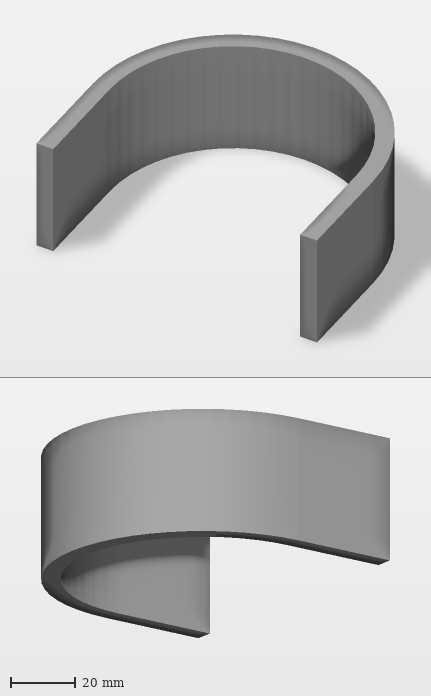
import cadquery as cq

outer_width = 101.0
wall = 6.1
leg_length = 35.5
height = 40.0

outer_radius = outer_width / 2
inner_radius = outer_radius - wall

result = (
    cq.Workplane("XY")
    .moveTo(-outer_radius, -leg_length)
    .lineTo(-outer_radius, 0)
    .threePointArc((0, outer_radius), (outer_radius, 0))
    .lineTo(outer_radius, -leg_length)
    .lineTo(inner_radius, -leg_length)
    .lineTo(inner_radius, 0)
    .threePointArc((0, inner_radius), (-inner_radius, 0))
    .lineTo(-inner_radius, -leg_length)
    .close()
    .extrude(height)
)